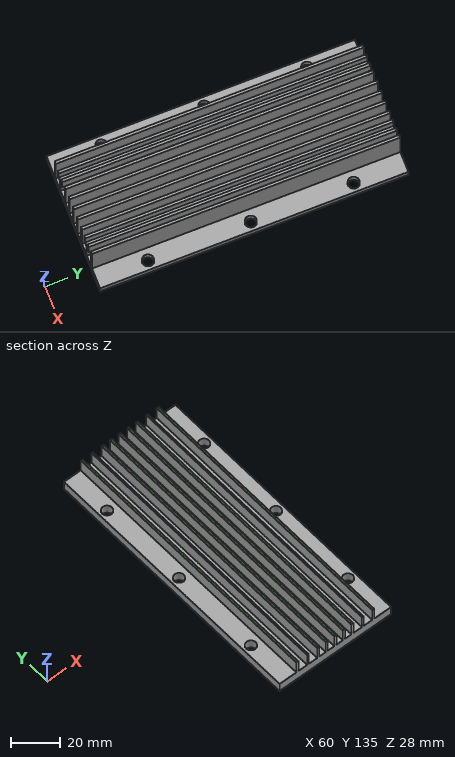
import cadquery as cq

base_width = 60.0
length = 135.0
base_thickness = 5.0

fin_thickness = 1.2
overall_height = 28.0
outer_fin_offset = 20.4
inner_fin_height = 27.1
inner_fin_count = 5
inner_fin_pitch = 4.6

fork_offset = 14.7
fork_width = 5.1
fork_arm_thickness = 1.2
fork_bottom = 18.0
fork_floor_thickness = 1.6
fork_top = 25.9
stem_thickness = 1.0

hole_diameter = 5.0
hole_row_offset = 26.0
holes_per_row = 3
hole_pitch = length / holes_per_row


def bar(x_center, width, bottom, top):
    """Full-length rectangular bar between two heights."""
    return (
        cq.Workplane("XY", origin=(x_center, 0, bottom))
        .rect(width, length)
        .extrude(top - bottom)
    )


def plain_fin(x_center, top):
    """Straight fin rooted in the base plate."""
    return bar(x_center, fin_thickness, 0, top)


def forked_fin(x_center):
    """Stem with an open-topped channel on it."""
    stem = bar(x_center, stem_thickness, 0, fork_bottom)
    block = bar(x_center, fork_width, fork_bottom, fork_top)
    slot_width = fork_width - 2 * fork_arm_thickness
    slot = bar(x_center, slot_width, fork_bottom + fork_floor_thickness, fork_top)
    return stem.union(block.cut(slot))


result = bar(0, base_width, 0, base_thickness)

for side in (-1, 1):
    result = result.union(plain_fin(side * outer_fin_offset, overall_height))
    result = result.union(forked_fin(side * fork_offset))

for index in range(inner_fin_count):
    fin_x = (index - (inner_fin_count - 1) / 2) * inner_fin_pitch
    result = result.union(plain_fin(fin_x, inner_fin_height))

holes = (
    cq.Workplane("XY")
    .rarray(2 * hole_row_offset, hole_pitch, 2, holes_per_row)
    .circle(hole_diameter / 2)
    .extrude(base_thickness)
)
result = result.cut(holes)